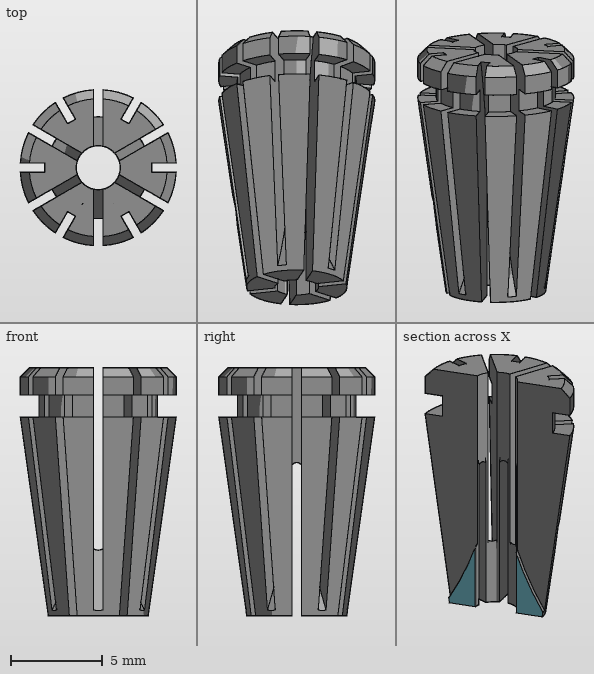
import cadquery as cq
import math

total_height = 13.5
rim_radius = 4.25
top_chamfer = 0.5
rim_bottom = 12.0
neck_radius = 3.24
taper_top = 10.81
taper_angle = 8.0
bore_radius = 1.19

slot_count = 6
slot_width = 0.49
upper_slot_arc_radius = 17.0
upper_slot_bore_height = 3.65
upper_slot_exit_radius = 2.77
upper_slot_exit_height = 0.3
lower_slot_arc_radius = 29.0
lower_slot_bore_height = 8.22
lower_slot_top_radius = 2.91
overrun = 1.0

bottom_radius = rim_radius - taper_top * math.tan(math.radians(taper_angle))
cut_radius = rim_radius + overrun
cut_top = total_height + overrun
bore_corner_radius = math.sqrt(bore_radius**2 - (slot_width / 2) ** 2)


def make_body():
    """Tapered collet body with a neck groove, a chamfered rim and a through bore."""
    profile = [
        (bore_radius, 0),
        (bottom_radius, 0),
        (rim_radius, taper_top),
        (neck_radius, taper_top),
        (neck_radius, rim_bottom),
        (rim_radius, rim_bottom),
        (rim_radius, total_height - top_chamfer),
        (rim_radius - top_chamfer, total_height),
        (bore_radius, total_height),
    ]
    return cq.Workplane("XZ").polyline(profile).close().revolve(360, (0, 0), (0, 1))


def extrude_slot(outline):
    """Thin radial cutter along +X from an open radius-height outline."""
    return outline.close().extrude(slot_width / 2, both=True)


def make_upper_slot():
    """Slot open at the top, with a concave floor falling outward from the bore."""
    outline = (
        cq.Workplane("XZ")
        .moveTo(0, cut_top)
        .lineTo(0, upper_slot_bore_height)
        .lineTo(bore_corner_radius, upper_slot_bore_height)
        .radiusArc((upper_slot_exit_radius, upper_slot_exit_height), -upper_slot_arc_radius)
        .lineTo(cut_radius, upper_slot_exit_height)
        .lineTo(cut_radius, cut_top)
    )
    return extrude_slot(outline)


def make_lower_slot():
    """Slot open at the bottom, with a concave roof rising outward to the top face."""
    outline = (
        cq.Workplane("XZ")
        .moveTo(0, -overrun)
        .lineTo(0, lower_slot_bore_height)
        .lineTo(bore_corner_radius, lower_slot_bore_height)
        .radiusArc((lower_slot_top_radius, total_height), lower_slot_arc_radius)
        .lineTo(cut_radius, total_height)
        .lineTo(cut_radius, -overrun)
    )
    return extrude_slot(outline)


result = make_body()
slot_pitch = 360 / slot_count
upper_slot = make_upper_slot()
lower_slot = make_lower_slot()
for index in range(slot_count):
    lower_angle = index * slot_pitch
    upper_angle = lower_angle + slot_pitch / 2
    result = result.cut(lower_slot.rotate((0, 0, 0), (0, 0, 1), lower_angle))
    result = result.cut(upper_slot.rotate((0, 0, 0), (0, 0, 1), upper_angle))